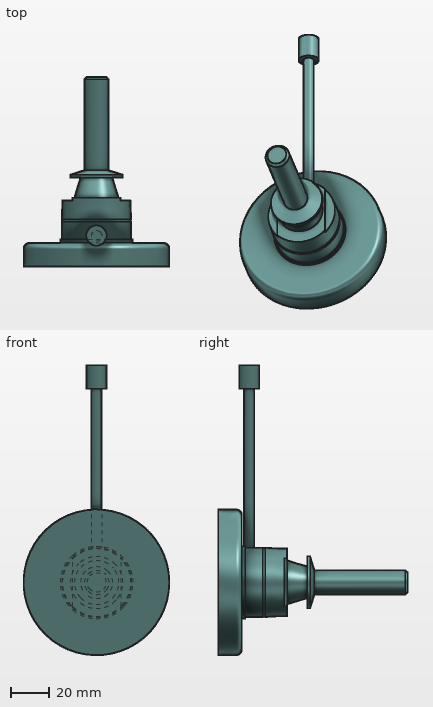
import cadquery as cq

overall_length = 99.1
overall_height = 151.5

base_diameter = 76.2
base_radius = base_diameter / 2
base_thickness = 12.4
base_edge_radius = 3.2

collar_radius = 19.0
collar_end = 14.2
housing_radius = 18.2
groove_radius = 18.0
housing_mouth_radius = 17.7
groove_start = 23.3
groove_end = 24.7
housing_end = 36.0
flat_distance = 12.5
flat_depth = 1.5

cone_large_radius = 11.5
cone_small_radius = 8.3
flange_start = 46.5
flange_rim_end = 48.0
flange_end = 50.3
flange_radius = 13.6
shaft_radius = 6.4
shaft_chamfer = 1.4

lever_y = 16.2
lever_radius = 2.7
knob_radius = 5.3
knob_length = 12.4
lever_top = overall_height - base_radius


def make_base():
    """Base disc with a rounded back edge."""
    return (
        cq.Workplane("XZ")
        .circle(base_radius)
        .extrude(-base_thickness)
        .faces(">Y")
        .edges()
        .fillet(base_edge_radius)
    )


def make_housing():
    """Collared barrel, with a shallow groove, a tapered mouth and two flats."""
    barrel = (
        cq.Workplane("XY")
        .moveTo(0, base_thickness)
        .lineTo(collar_radius, base_thickness)
        .lineTo(collar_radius, collar_end)
        .lineTo(housing_radius, collar_end)
        .lineTo(housing_radius, groove_start)
        .lineTo(groove_radius, groove_start)
        .lineTo(groove_radius, groove_end)
        .lineTo(housing_radius, groove_end)
        .lineTo(housing_mouth_radius, housing_end)
        .lineTo(0, housing_end)
        .close()
        .revolve(360, (0, 0, 0), (0, 1, 0))
    )
    for side in (-1, 1):
        flat_center = (side * (flat_distance + housing_radius / 2), housing_end - flat_depth / 2, 0)
        flat_cut = cq.Workplane("XY").box(housing_radius, flat_depth, 2 * housing_radius)
        flat_cut = flat_cut.translate(flat_center)
        barrel = barrel.cut(flat_cut)
    return barrel


def make_stem():
    """Conical foot, dished flange and chamfered shaft."""
    return (
        cq.Workplane("XY")
        .moveTo(0, housing_end)
        .lineTo(cone_large_radius, housing_end)
        .lineTo(cone_small_radius, flange_start)
        .lineTo(flange_radius, flange_start)
        .lineTo(flange_radius, flange_rim_end)
        .lineTo(shaft_radius, flange_end)
        .lineTo(shaft_radius, overall_length - shaft_chamfer)
        .lineTo(shaft_radius - shaft_chamfer, overall_length)
        .lineTo(0, overall_length)
        .close()
        .revolve(360, (0, 0, 0), (0, 1, 0))
    )


def make_lever(base_and_housing):
    """Rod and knob, with the rod's foot shaped to the outside of the housing."""
    knob_bottom = lever_top - knob_length
    rod = cq.Workplane("XY").center(0, lever_y).circle(lever_radius).extrude(knob_bottom)
    knob = (
        cq.Workplane("XY", origin=(0, lever_y, knob_bottom))
        .circle(knob_radius)
        .extrude(knob_length)
    )
    return rod.union(knob).cut(base_and_housing)


base_housing = make_base().union(make_housing())
stem = make_stem()
lever = make_lever(base_housing)

result = cq.Compound.makeCompound([base_housing.val(), stem.val(), lever.val()])